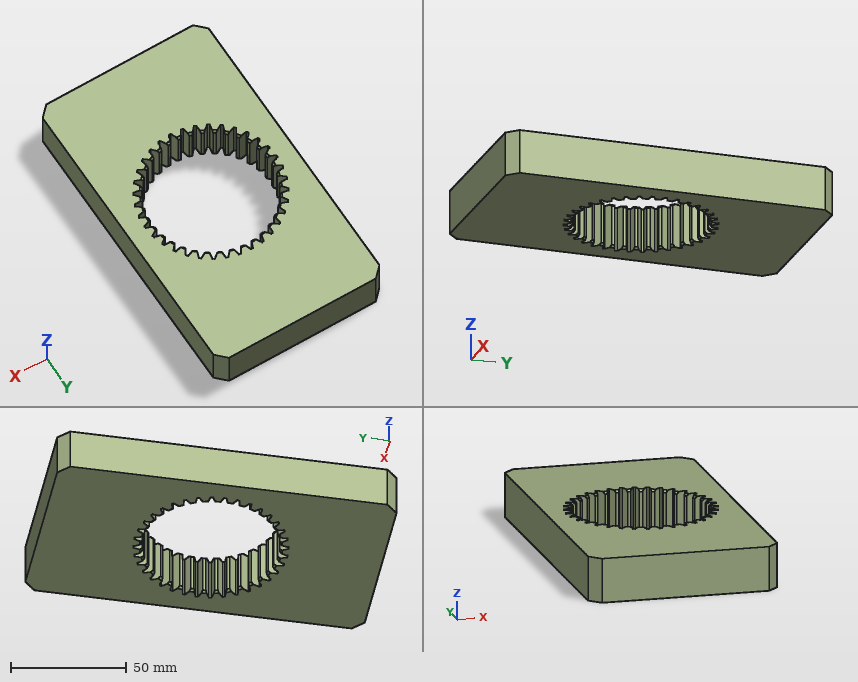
import cadquery as cq
import math

plate_width = 85.0
plate_length = 150.0
plate_thickness = 20.0
corner_chamfer = 5.0

tooth_count = 36
tip_radius = 30.0
root_radius = 33.8
tip_land = 1.4
root_width = 1.0
tip_chamfer = 1.0

tooth_angle = 2 * math.pi / tooth_count
root_half_angle = math.asin(root_width / 2 / root_radius)
land_half_angle = math.asin(tip_land / 2 / tip_radius)


def polar(radius, angle):
    return (radius * math.cos(angle), radius * math.sin(angle))


def make_plate():
    plate = cq.Workplane("XY").box(plate_width, plate_length, plate_thickness)
    return plate.edges("|Z").chamfer(corner_chamfer)


def make_toothed_core():
    """Solid filling the opening: its outward lobes are the spaces between the teeth."""
    outline = cq.Workplane("XY").workplane(offset=-plate_thickness / 2)
    outline = outline.moveTo(*polar(tip_radius, land_half_angle - tooth_angle / 2))
    for index in range(tooth_count):
        space = index * tooth_angle
        tooth = space + tooth_angle / 2
        outline = (
            outline.lineTo(*polar(root_radius, space - root_half_angle))
            .threePointArc(polar(root_radius, space), polar(root_radius, space + root_half_angle))
            .lineTo(*polar(tip_radius, tooth - land_half_angle))
            .threePointArc(polar(tip_radius, tooth), polar(tip_radius, tooth + land_half_angle))
        )
    return outline.close().extrude(plate_thickness)


def make_tip_chamfers():
    """Disc with conical ends that bevels the tooth tips at both faces."""
    half = plate_thickness / 2
    wide = tip_radius + tip_chamfer
    profile = [
        (0, -half),
        (wide, -half),
        (tip_radius, tip_chamfer - half),
        (tip_radius, half - tip_chamfer),
        (wide, half),
        (0, half),
    ]
    return cq.Workplane("XZ").polyline(profile).close().revolve(360, (0, 0, 0), (0, 1, 0))


result = make_plate().cut(make_toothed_core()).cut(make_tip_chamfers())